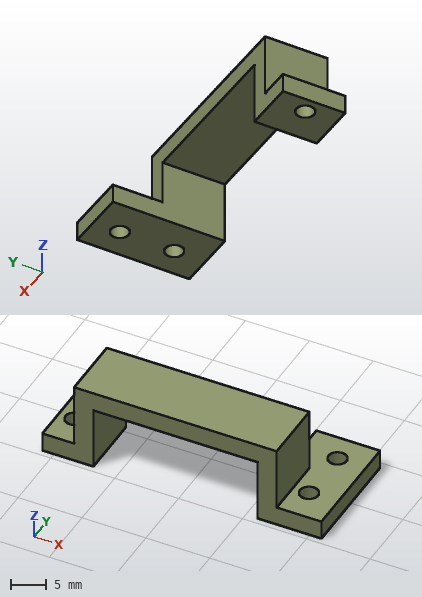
import cadquery as cq

length = 43.7
height = 13.0
depth = 18.0
bridge_depth = 10.0
thickness = 3.0
left_foot = 5.0
right_foot = 7.0
hole_diameter = 2.8
hole_to_leg = 2.5
hole_spacing = 8.75

left_leg_x = left_foot
right_leg_x = length - right_foot
left_inner_x = left_leg_x + thickness
right_inner_x = right_leg_x - thickness
hole_y = bridge_depth / 2


def make_bridge():
    """Hat-shaped profile in XZ, extruded toward +Y."""
    outline = [
        (0, 0),
        (left_inner_x, 0),
        (left_inner_x, height - thickness),
        (right_inner_x, height - thickness),
        (right_inner_x, 0),
        (length, 0),
        (length, thickness),
        (right_leg_x, thickness),
        (right_leg_x, height),
        (left_leg_x, height),
        (left_leg_x, thickness),
        (0, thickness),
    ]
    return cq.Workplane("XZ").polyline(outline).close().extrude(-bridge_depth)


def make_extended_foot():
    """Flat plate under the right leg, reaching past the back of the bridge."""
    foot_width = length - right_inner_x
    plate = cq.Workplane("XY").box(foot_width, depth, thickness, centered=False)
    return plate.translate((right_inner_x, 0, 0))


def make_holes():
    """Vertical cylinders that pass through the feet."""
    right_hole_x = right_leg_x + hole_to_leg
    centres = [
        (left_leg_x - hole_to_leg, hole_y),
        (right_hole_x, hole_y),
        (right_hole_x, hole_y + hole_spacing),
    ]
    return cq.Workplane("XY").pushPoints(centres).circle(hole_diameter / 2).extrude(thickness)


result = make_bridge().union(make_extended_foot()).cut(make_holes())